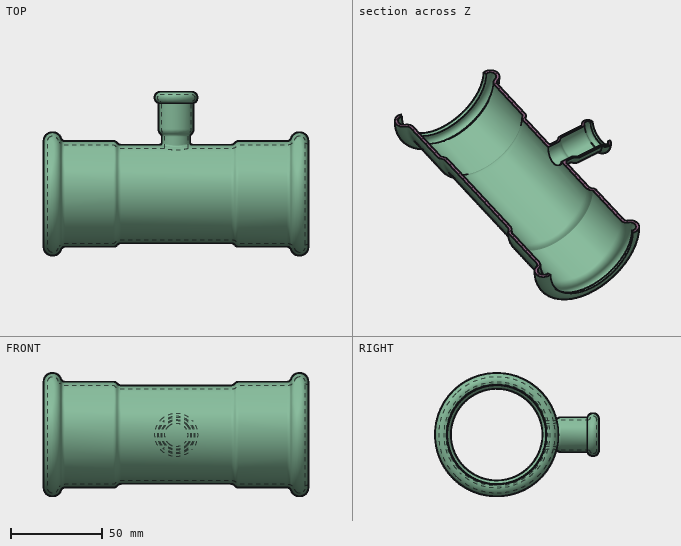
import cadquery as cq
import math

RUN_LENGTH = 144.94
RUN = {
    "wall": 2.0,
    "tube_radius": 27.0,
    "socket_radius": 29.0,
    "bead_radius": 33.83,
    "bead_section": 4.95,
    "lip_radius": 27.3,
    "bead_fillet": 2.1,
    "socket_end": 38.4,
    "taper_angle": math.radians(45),
    "shoulder_bend": 2.2,
    "neck_bend": 2.5,
}

BRANCH_REACH = 56.0
BRANCH = {
    "wall": 1.5,
    "tube_radius": 7.85,
    "socket_radius": 9.65,
    "bead_radius": 11.8,
    "bead_section": 3.3,
    "lip_radius": 8.2,
    "bead_fillet": 0.0,
    "socket_end": 20.8,
    "taper_angle": math.radians(40),
    "shoulder_bend": 2.8,
    "neck_bend": 2.0,
}
WELD_FILLET = 1.0


def on_circle(center, radius, angle):
    """Point on a circle in (distance from mouth, radius) coordinates."""
    return (center[0] + radius * math.cos(angle), center[1] + radius * math.sin(angle))


def wall_line(size, inset):
    """Key points of one wall surface, lying `inset` inside the outer skin.

    Points are (distance from mouth, radius), named in order from the lip along the
    bead, its fillet, the socket, the taper and on to the tube.
    """
    section = size["bead_section"]
    bead_center = (section, size["bead_radius"] - section)
    bead_arc = section - inset
    fillet_radius = size["bead_fillet"]
    fillet_arc = fillet_radius + inset
    fillet_height = size["socket_radius"] + fillet_radius
    center_rise = fillet_height - bead_center[1]
    tangent_angle = math.asin(center_rise / (section + fillet_radius))
    fillet_center = (bead_center[0] + center_rise / math.tan(tangent_angle), fillet_height)

    lip_drop = bead_center[1] - size["lip_radius"]
    lip_angle = math.pi + math.asin(lip_drop / section)
    fillet_start_angle = math.pi + tangent_angle
    fillet_end_angle = 1.5 * math.pi

    taper_angle = size["taper_angle"]
    half = taper_angle / 2
    shoulder_center = (size["socket_end"], size["socket_radius"] - size["shoulder_bend"])
    shoulder_arc = size["shoulder_bend"] - inset
    neck_arc = size["neck_bend"] + inset
    bend_sum = size["shoulder_bend"] + size["neck_bend"]
    bend_drop = bend_sum * (1 - math.cos(taper_angle))
    cone_drop = size["socket_radius"] - size["tube_radius"] - bend_drop
    taper_length = bend_sum * math.sin(taper_angle) + cone_drop / math.tan(taper_angle)
    neck_center = (size["socket_end"] + taper_length, size["tube_radius"] + size["neck_bend"])
    up = math.pi / 2

    return {
        "lip": on_circle(bead_center, bead_arc, lip_angle),
        "bead_mid": on_circle(bead_center, bead_arc, (lip_angle + tangent_angle) / 2),
        "bead_end": on_circle(bead_center, bead_arc, tangent_angle),
        "fillet_mid": on_circle(fillet_center, fillet_arc, (fillet_start_angle + fillet_end_angle) / 2),
        "fillet_end": on_circle(fillet_center, fillet_arc, fillet_end_angle),
        "shoulder_start": on_circle(shoulder_center, shoulder_arc, up),
        "shoulder_mid": on_circle(shoulder_center, shoulder_arc, up - half),
        "shoulder_end": on_circle(shoulder_center, shoulder_arc, up - taper_angle),
        "neck_start": on_circle(neck_center, neck_arc, -up - taper_angle),
        "neck_mid": on_circle(neck_center, neck_arc, -up - half),
        "neck_end": on_circle(neck_center, neck_arc, -up),
    }


def socketed_tube(size, length, inset):
    """Solid of revolution about X bounded by one wall surface, mouth near X = 0.

    With an inset the solid is the cavity, which reaches out across the end face of the lip.
    """
    p = wall_line(size, inset)
    lip_edge = wall_line(size, 0)["lip"]
    profile = cq.Workplane("XY").moveTo(lip_edge[0], 0).lineTo(*lip_edge)
    if inset > 0:
        profile = profile.lineTo(*p["lip"])
    profile = profile.threePointArc(p["bead_mid"], p["bead_end"])
    if size["bead_fillet"] + inset > 0:
        profile = profile.threePointArc(p["fillet_mid"], p["fillet_end"])
    profile = (
        profile.lineTo(*p["shoulder_start"])
        .threePointArc(p["shoulder_mid"], p["shoulder_end"])
        .lineTo(*p["neck_start"])
        .threePointArc(p["neck_mid"], p["neck_end"])
        .lineTo(length, size["tube_radius"] - inset)
        .lineTo(length, 0)
        .close()
    )
    return profile.revolve(360, (0, 0, 0), (1, 0, 0))


def run_body(inset):
    half = socketed_tube(RUN, RUN_LENGTH / 2, inset).translate((-RUN_LENGTH / 2, 0, 0))
    return half.union(half.mirror("YZ"))


def branch_body(inset):
    """Branch turned so its mouth faces +Y, its inner end lying on the run axis."""
    branch = socketed_tube(BRANCH, BRANCH_REACH, inset)
    return branch.rotate((0, 0, 0), (0, 0, 1), -90).translate((0, BRANCH_REACH, 0))


def add_weld_fillet(body):
    weld_zone = cq.selectors.BoxSelector(
        (-BRANCH["socket_radius"], RUN["tube_radius"] - RUN["wall"], -BRANCH["socket_radius"]),
        (BRANCH["socket_radius"], RUN["tube_radius"] + WELD_FILLET, BRANCH["socket_radius"]),
        boundingbox=True,
    )
    return body.edges(weld_zone).fillet(WELD_FILLET)


outer = add_weld_fillet(run_body(0).union(branch_body(0)))
hollow = outer.cut(run_body(RUN["wall"])).cut(branch_body(BRANCH["wall"]))
result = cq.Workplane("XY").newObject([hollow.solids().val()])